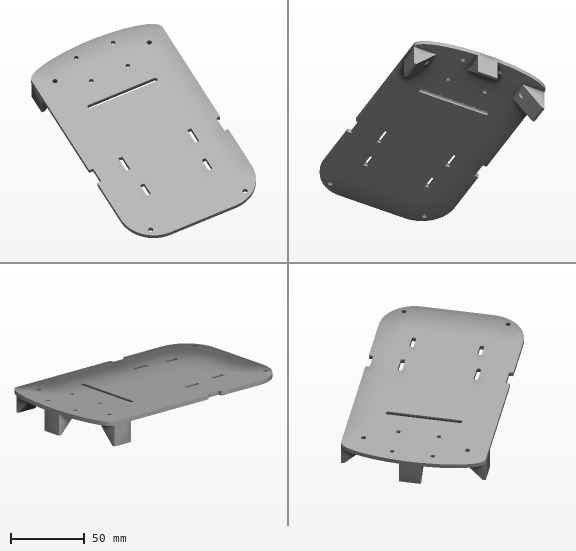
import cadquery as cq

length = 170.0
width = 100.0
thickness = 3.0
nose_depth = 12.5
rear_radius = 25.0

leg_height = 15.0
leg_width = 15.0
leg_foot = 2.0
leg_reach = leg_foot + leg_height

mount_diameter = 3.5
mount_xs = (20.0, 162.0)
mount_y = 36.0
caster_diameter = 3.0
caster_xs = (9.0, 31.0)
caster_y = 14.0

slot_x = 50.0
slot_length = 53.0
slot_width = 3.0

tab_width = 3.0
motor_x = 104.0
motor_length = 12.0
motor_y = 26.25
notch_depth = 3.0
bracket_x = 130.0
bracket_length = 10.0
bracket_y = 23.5


def mirrored(points):
    """Return the points together with their mirror images across the XZ plane."""
    return points + [(x, -y) for x, y in points]


def make_plate():
    body = (
        cq.Workplane("XY")
        .center((nose_depth + length) / 2, 0)
        .rect(length - nose_depth, width)
        .extrude(-thickness)
        .edges("|Z and >X")
        .fillet(rear_radius)
    )
    nose = cq.Workplane("XY").center(nose_depth, 0).ellipse(nose_depth, width / 2).extrude(-thickness)
    return body.union(nose)


def make_leg():
    """Leg with its outer face in the YZ plane, rising through the plate to its top."""
    foot_z = -thickness - leg_height
    profile = [
        (0, 0),
        (leg_reach, 0),
        (leg_reach, -thickness),
        (leg_foot, foot_z),
        (0, foot_z),
    ]
    return (
        cq.Workplane("XZ")
        .polyline(profile)
        .close()
        .extrude(leg_width / 2, both=True)
    )


def add_legs(part):
    side_leg = make_leg().rotate((0, 0, 0), (0, 0, 1), 90)
    side_leg = side_leg.translate((nose_depth + leg_width / 2, -width / 2, 0))
    return part.union(make_leg()).union(side_leg).union(side_leg.mirror("XZ"))


def cut_holes(part, diameter, xs, y):
    """Drill right through the part, including any leg below the plate."""
    depth = thickness + leg_height
    centers = mirrored([(x, y) for x in xs])
    return part.cut(cq.Workplane("XY").pushPoints(centers).circle(diameter / 2).extrude(-depth))


def cut_cross_slot(part):
    slot = cq.Workplane("XY").center(slot_x, 0).slot2D(slot_length, slot_width, 90).extrude(-thickness)
    return part.cut(slot)


def cut_openings(part, x, y, opening_length, opening_width):
    centers = mirrored([(x, y)])
    return part.cut(
        cq.Workplane("XY").pushPoints(centers).rect(opening_length, opening_width).extrude(-thickness)
    )


result = add_legs(make_plate())
result = cut_holes(result, mount_diameter, mount_xs, mount_y)
result = cut_holes(result, caster_diameter, caster_xs, caster_y)
result = cut_cross_slot(result)
result = cut_openings(result, motor_x, motor_y, motor_length, tab_width)
result = cut_openings(result, bracket_x, bracket_y, bracket_length, tab_width)
result = cut_openings(result, motor_x, width / 2, motor_length, 2 * notch_depth)